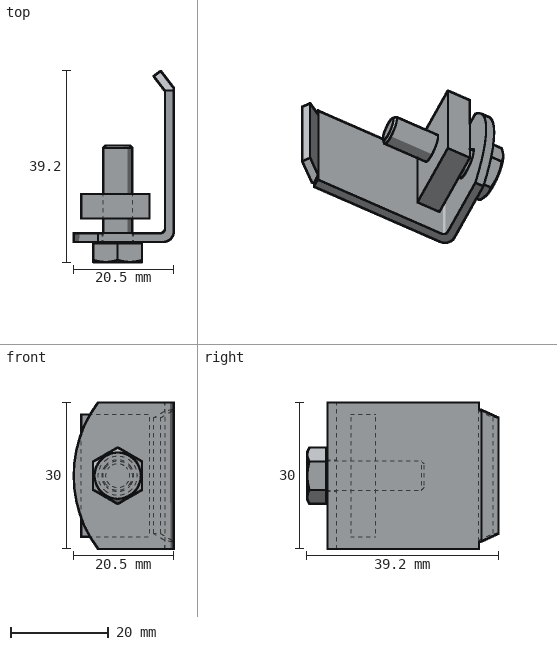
import cadquery as cq
import math


bracket_height = 30.0
half_height = bracket_height / 2
sheet = 1.85
base_left = -9.0
base_shoulder = -4.0
wall_outer = 11.5
wall_inner = wall_outer - sheet
bend_outer_radius = 2.2
bend_inner_radius = 0.95
wall_end = 31.0
tab_tip_y = 35.0
tab_corner_y = 31.48
tab_lean = 37.5
tab_tip_half_height = 11.85
tab_taper = 20.0
clearance_diameter = 6.5

shank_diameter = 6.0
shank_end_y = 19.75
shank_chamfer = 0.55
collar_diameter = 8.0
collar_height = 0.25
head_across_flats = 10.0
head_height = 3.95
head_face_diameter = 9.45
head_chamfer_angle = 27.0

plate_left = -7.5
plate_width = 14.0
plate_front = 4.82
plate_thickness = 5.0
plate_height = 25.0


def y_cylinder(diameter, start, end):
    """Cylinder on the bolt axis between two Y positions."""
    return cq.Workplane("XZ", origin=(0, start, 0)).circle(diameter / 2).extrude(start - end)


def make_tapered_region():
    """Prism square to the tab that limits the tab to its tapered outline."""
    lean = math.radians(tab_lean)
    length = (tab_tip_y - tab_corner_y) / math.cos(lean)
    root = 2 * length
    root_half = tab_tip_half_height + root * math.tan(math.radians(tab_taper))
    tip_x = wall_outer - length * math.sin(lean)
    tab_plane = cq.Plane(
        origin=(tip_x, tab_tip_y, 0),
        xDir=(math.sin(lean), -math.cos(lean), 0),
        normal=(math.cos(lean), math.sin(lean), 0),
    )
    outline = [
        (0, -tab_tip_half_height),
        (root, -root_half),
        (root, root_half),
        (0, tab_tip_half_height),
    ]
    return cq.Workplane(tab_plane).polyline(outline).close().extrude(2 * sheet, both=True)


def make_bracket_strip():
    """Bent sheet profile at full height, before its ends are shaped."""
    lean = math.radians(tab_lean)
    inner_corner_y = tab_corner_y - sheet * math.tan(lean / 2)
    tip_x = wall_outer - (tab_tip_y - tab_corner_y) * math.tan(lean)
    profile = [
        (base_left, 0),
        (wall_outer, 0),
        (wall_outer, tab_corner_y),
        (tip_x, tab_tip_y),
        (tip_x - sheet * math.cos(lean), tab_tip_y - sheet * math.sin(lean)),
        (wall_inner, inner_corner_y),
        (wall_inner, sheet),
        (base_left, sheet),
    ]
    strip = cq.Workplane("XY").polyline(profile).close().extrude(half_height, both=True)
    strip = strip.edges(cq.NearestToPointSelector((wall_outer, 0, 0))).fillet(bend_outer_radius)
    return strip.edges(cq.NearestToPointSelector((wall_inner, sheet, 0))).fillet(bend_inner_radius)


def make_bracket():
    strip = make_bracket_strip()
    lower = (
        cq.Workplane("XZ")
        .moveTo(wall_outer, -half_height)
        .lineTo(base_shoulder, -half_height)
        .threePointArc((base_left, 0), (base_shoulder, half_height))
        .lineTo(wall_outer, half_height)
        .close()
        .extrude(-wall_end)
    )
    beyond_wall = (
        cq.Workplane("XZ", origin=(0, wall_end, 0))
        .rect(2 * wall_outer, bracket_height)
        .extrude(wall_end - tab_tip_y)
    )
    tab = strip.intersect(beyond_wall).intersect(make_tapered_region())
    bracket = strip.intersect(lower).union(tab)
    return bracket.cut(y_cylinder(clearance_diameter, 0, sheet))


def make_bolt():
    head_back = -collar_height
    head_front = head_back - head_height
    corner_radius = head_across_flats / math.sqrt(3)
    face_radius = head_face_diameter / 2
    chamfer_depth = (corner_radius - face_radius) * math.tan(math.radians(head_chamfer_angle))
    head = (
        cq.Workplane("XZ", origin=(0, head_back, 0))
        .polygon(6, 2 * corner_radius)
        .extrude(head_height)
        .rotate((0, 0, 0), (0, 1, 0), 30)
    )
    chamfer_envelope = (
        cq.Workplane("XY")
        .polyline([
            (0, head_front),
            (face_radius, head_front),
            (corner_radius, head_front + chamfer_depth),
            (corner_radius, head_back),
            (0, head_back),
        ])
        .close()
        .revolve(360, (0, 0, 0), (0, 1, 0))
    )
    collar = y_cylinder(collar_diameter, head_back, 0)
    shank = y_cylinder(shank_diameter, head_back, shank_end_y).faces(">Y").chamfer(shank_chamfer)
    return head.intersect(chamfer_envelope).union(collar).union(shank)


def make_clamp_plate():
    plate = cq.Workplane("XY").box(
        plate_width, plate_thickness, plate_height, centered=(False, False, True)
    )
    plate = plate.translate((plate_left, plate_front, 0))
    return plate.cut(y_cylinder(shank_diameter, plate_front, plate_front + plate_thickness))


bracket = make_bracket()
bolt = make_bolt()
clamp_plate = make_clamp_plate()

result = cq.Compound.makeCompound([body.solids().val() for body in (bracket, bolt, clamp_plate)])